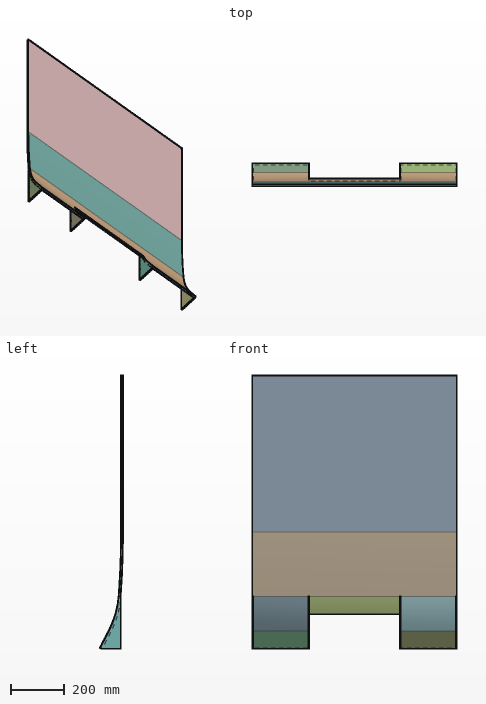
import cadquery as cq
import math

width = 762.0
height = 1019.0
thickness = 8.0

gentle_bend_top = 437.0
tight_bend_top = 196.0
lip_top = 67.0
gentle_angle = math.radians(4.3)
lip_angle = math.radians(27.1)

foot_width = 212.0
notch_top = 128.0
rib_thickness = 4.0
rib_front = 8.0

gentle_radius = (gentle_bend_top - tight_bend_top) / math.sin(gentle_angle)
tight_radius = (tight_bend_top - lip_top) / (math.sin(lip_angle) - math.sin(gentle_angle))

gentle_center = (gentle_radius, gentle_bend_top)
center_shift = gentle_radius - tight_radius
tight_center = (
    gentle_center[0] - center_shift * math.cos(gentle_angle),
    gentle_center[1] - center_shift * math.sin(gentle_angle),
)


def bend_point(center, radius, angle, depth):
    """Point on a bend, set back from the front face by depth."""
    reach = radius - depth
    return (center[0] - reach * math.cos(angle), center[1] - reach * math.sin(angle))


def face_points(depth):
    """Points down the plate at a given depth: bend ends, bend middles and lip end."""
    lip_start = bend_point(tight_center, tight_radius, lip_angle, depth)
    lip_length = lip_top / math.cos(lip_angle)
    lip_end = (
        lip_start[0] + lip_length * math.sin(lip_angle),
        lip_start[1] - lip_length * math.cos(lip_angle),
    )
    return {
        "start": (depth, gentle_bend_top),
        "gentle_mid": bend_point(gentle_center, gentle_radius, gentle_angle / 2, depth),
        "joint": bend_point(gentle_center, gentle_radius, gentle_angle, depth),
        "tight_mid": bend_point(tight_center, tight_radius, (gentle_angle + lip_angle) / 2, depth),
        "lip_start": lip_start,
        "lip_end": lip_end,
    }


def make_plate():
    """Bent sheet across the full width, with the lip end cut square to the sheet."""
    front = face_points(0)
    back = face_points(thickness)
    return (
        cq.Workplane("YZ")
        .moveTo(0, height)
        .lineTo(*front["start"])
        .threePointArc(front["gentle_mid"], front["joint"])
        .threePointArc(front["tight_mid"], front["lip_start"])
        .lineTo(*front["lip_end"])
        .lineTo(*back["lip_end"])
        .lineTo(*back["lip_start"])
        .threePointArc(back["tight_mid"], back["joint"])
        .threePointArc(back["gentle_mid"], back["start"])
        .lineTo(thickness, height)
        .close()
        .extrude(width)
    )


def make_notch():
    """Block that opens the space between the feet through the full depth."""
    depth = 2 * face_points(thickness)["lip_end"][0]
    return cq.Workplane("XY").box(
        width - 2 * foot_width, depth, notch_top, centered=(False, True, False)
    ).translate((foot_width, 0, 0))


def make_rib(left):
    """Upright web filling the space in front of the curved foot, starting at x = left."""
    middle = face_points(thickness / 2)
    return (
        cq.Workplane("YZ", origin=(left, 0, 0))
        .moveTo(rib_front, 0)
        .lineTo(*face_points(0)["lip_end"])
        .lineTo(*middle["lip_end"])
        .lineTo(*middle["lip_start"])
        .threePointArc(middle["tight_mid"], middle["joint"])
        .lineTo(rib_front, tight_bend_top)
        .close()
        .extrude(rib_thickness)
    )


result = make_plate().cut(make_notch())
for foot_left in (0, width - foot_width):
    for rib_left in (foot_left, foot_left + foot_width - rib_thickness):
        result = result.union(make_rib(rib_left))